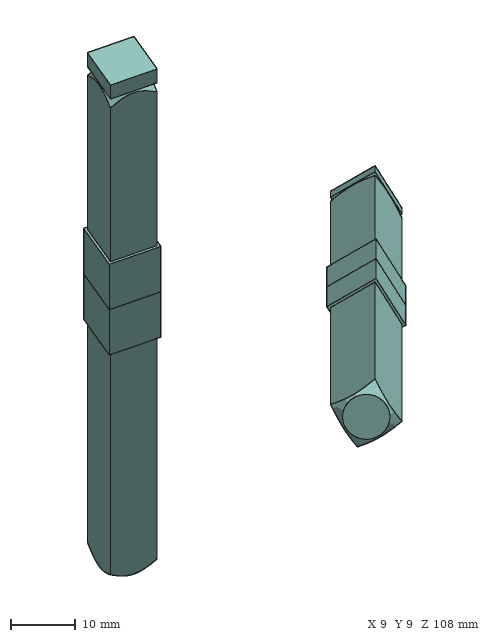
import cadquery as cq
import math

total_length = 108.0
shank_width = 8.1
collar_width = 9.0
collar_length = 9.8
joint_height = 60.0
cap_thickness = 3.0
tip_diameter = 7.3
bevel_height = 1.9

cap_base = total_length - cap_thickness
lower_half_length = joint_height
upper_half_length = cap_base - joint_height
corner_radius = shank_width / math.sqrt(2)


def square_bar(width, length):
    """Square bar standing on Z = 0, centred on the Z axis."""
    return cq.Workplane("XY").rect(width, width).extrude(length)


def bevelled_envelope(length):
    """Round envelope through the shank corners whose upper end tapers to the tip diameter."""
    return (
        cq.Workplane("XZ")
        .polyline([
            (0, 0),
            (corner_radius, 0),
            (corner_radius, length - bevel_height),
            (tip_diameter / 2, length),
            (0, length),
        ])
        .close()
        .revolve(360, (0, 0), (0, 1))
    )


def spindle_half(length):
    """Half spindle: collar on Z = 0, square shank rising to a conically bevelled tip."""
    shank = square_bar(shank_width, length).intersect(bevelled_envelope(length))
    collar = square_bar(collar_width, collar_length)
    return shank.union(collar)


lower_half = (
    spindle_half(lower_half_length)
    .rotate((0, 0, 0), (1, 0, 0), 180)
    .translate((0, 0, joint_height))
)

upper_half = spindle_half(upper_half_length).translate((0, 0, joint_height))

end_cap = square_bar(shank_width, cap_thickness).translate((0, 0, cap_base))

result = cq.Compound.makeCompound([lower_half.val(), upper_half.val(), end_cap.val()])